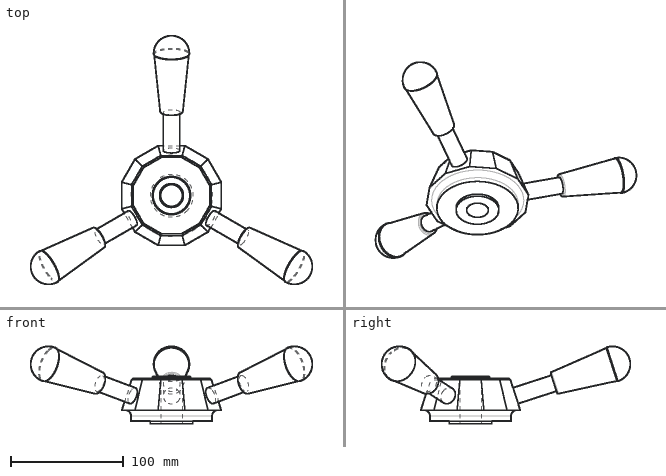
import cadquery as cq
import math


collar_bottom = 2.5
hub_bottom = 12.0
hub_top = 40.2
total_hub_height = 42.2

side_count = 12
tilt = 18.0
hub_bottom_width = 88.3
hub_top_chamfer = 1.2
collar_diameter = 72.0
collar_fillet = 4.7
lower_boss_diameter = 38.0
upper_boss_diameter = 34.0
upper_boss_chamfer = 0.7
bore_diameter = 19.2
bore_chamfer = 1.0

arm_count = 3
first_arm_angle = 90.0
rod_diameter = 15.0
rod_start = 25.0
rod_overlap = 15.0
grip_start = 77.5
grip_small_diameter = 20.2
grip_end_fillet = 1.0
ball_radius = 16.0
ball_bevel_length = 0.7
ball_bevel_depth = 0.5
overall_width = 249.5
lower_arm_angle = 30.0
ball_reach = (overall_width / 2 - ball_radius) / math.cos(math.radians(lower_arm_angle))


def make_hub():
    """Drafted polygon with flats facing the arms."""
    corner_factor = 1 / math.cos(math.pi / side_count)
    body = (
        cq.Workplane("XY", origin=(0, 0, hub_bottom))
        .transformed(rotate=(0, 0, 180 / side_count))
        .polygon(side_count, hub_bottom_width * corner_factor)
        .extrude(hub_top - hub_bottom, taper=tilt)
    )
    return body.faces(">Z").chamfer(hub_top_chamfer)


def make_collar_and_bosses():
    """Turned core: lower boss, collar flaring into the hub, upper boss."""
    collar_radius = collar_diameter / 2
    flare_start = hub_bottom - collar_fillet
    flare_radius = collar_radius + collar_fillet
    flare_mid = (
        flare_radius - collar_fillet * math.cos(math.pi / 4),
        flare_start + collar_fillet * math.sin(math.pi / 4),
    )
    return (
        cq.Workplane("XZ")
        .lineTo(lower_boss_diameter / 2, 0)
        .lineTo(lower_boss_diameter / 2, collar_bottom)
        .lineTo(collar_radius, collar_bottom)
        .lineTo(collar_radius, flare_start)
        .threePointArc(flare_mid, (flare_radius, hub_bottom))
        .lineTo(upper_boss_diameter / 2, hub_bottom)
        .lineTo(upper_boss_diameter / 2, total_hub_height - upper_boss_chamfer)
        .lineTo(upper_boss_diameter / 2 - upper_boss_chamfer, total_hub_height)
        .lineTo(0, total_hub_height)
        .close()
        .revolve(360, (0, 0, 0), (0, 1, 0))
    )


def make_arm():
    """Rod and grip turned about X, the grip ending in a hemisphere with a bevelled rim."""
    ball_center = ball_reach / math.cos(math.radians(tilt))
    small_radius = grip_small_diameter / 2
    nose_mid = (
        ball_center + ball_radius * math.cos(math.pi / 4),
        ball_radius * math.sin(math.pi / 4),
    )
    grip = (
        cq.Workplane("XY")
        .moveTo(grip_start, 0)
        .lineTo(grip_start, small_radius)
        .lineTo(ball_center - ball_bevel_length, ball_radius - ball_bevel_depth)
        .lineTo(ball_center, ball_radius)
        .threePointArc(nose_mid, (ball_center + ball_radius, 0))
        .close()
        .revolve(360, (0, 0, 0), (1, 0, 0))
        .faces("<X")
        .edges()
        .fillet(grip_end_fillet)
    )
    rod = (
        cq.Workplane("YZ", origin=(rod_start, 0, 0))
        .circle(rod_diameter / 2)
        .extrude(grip_start + rod_overlap - rod_start)
    )
    return grip.union(rod).rotate((0, 0, 0), (0, 1, 0), -tilt).translate((0, 0, hub_bottom))


def make_bore():
    """Through hole, chamfered at the top."""
    hole = cq.Workplane("XY").circle(bore_diameter / 2).extrude(total_hub_height)
    countersink = (
        cq.Workplane("XY", origin=(0, 0, total_hub_height))
        .circle(bore_diameter / 2 + bore_chamfer)
        .extrude(-bore_chamfer, taper=45)
    )
    return hole.union(countersink)


result = make_hub().union(make_collar_and_bosses())
arm = make_arm()
for index in range(arm_count):
    angle = first_arm_angle + index * 360 / arm_count
    result = result.union(arm.rotate((0, 0, 0), (0, 0, 1), angle))
result = result.cut(make_bore())